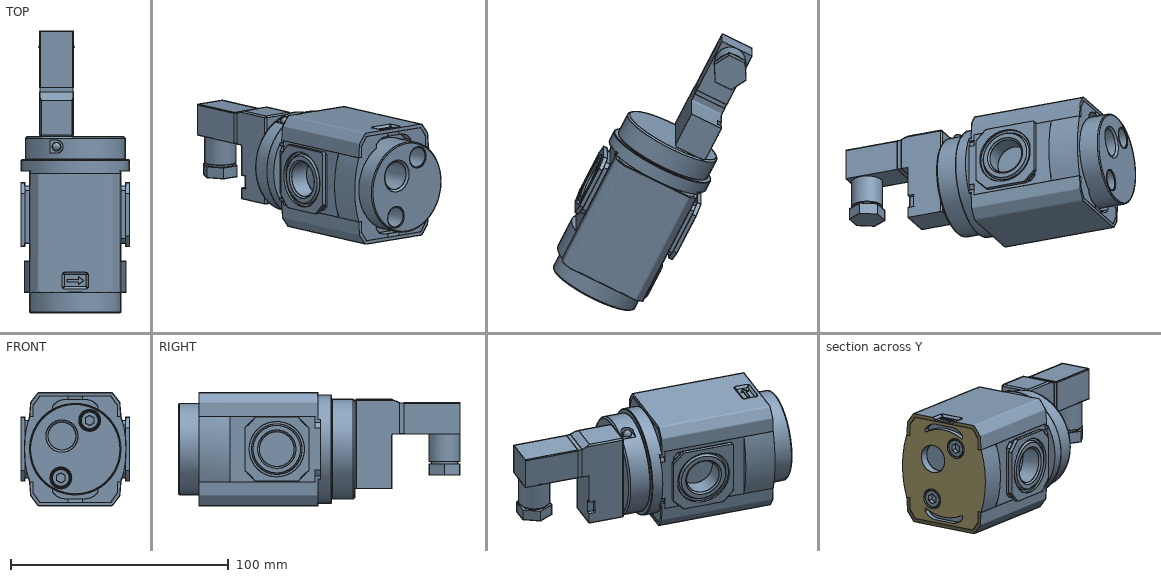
import cadquery as cq
import math


FRONT_FACE = -45.2
COVER_FRONT = FRONT_FACE + 9.45
COVER_REAR = FRONT_FACE + 64.1
PANEL_REAR = COVER_REAR + 1.1
COLLAR_REAR = FRONT_FACE + 70.4
RING_REAR = FRONT_FACE + 81.0
VALVE_REAR = FRONT_FACE + 98.1
PLUG_REAR = FRONT_FACE + 129.4

BOSS_RADIUS = 21.0
COLLAR_RADIUS = 24.9
RING_RADIUS = 23.0
CHAMFER_ANGLE = 45
BOSS_CHAMFER = 0.5
COLLAR_CHAMFER = 0.3
RING_FRONT_CHAMFER = 0.4
RING_REAR_CHAMFER = 0.8

COVER_TOP = 26.0
COVER_TOP_HALF = 17.0
COVER_SHOULDER_HALF = 20.5
COVER_SHOULDER = 21.4
COVER_SIDE_HALF = 21.0
COVER_SPLIT = 15.0
COVER_CORNER_RADIUS = 1.2
INNER_TOP = 24.4
INNER_TOP_HALF = 16.3
INNER_SIDE_HALF = 19.3
INNER_SHOULDER = 20.2
TAB_FRONT = COVER_REAR - 1.4
TAB_LOW = 12.3
TAB_HIGH = 13.6

BULGE_HALF_WIDTH = 23.4
BULGE_LENGTH = 14.35
NOTCH_LOW = 9.6
NOTCH_FLOOR_RADIUS = 23.0
CRESCENT_HALF_WIDTH = 10.4
CRESCENT_LOW = 18.0
CRESCENT_CORNER = 19.6
CRESCENT_MID = (8.6, 21.5)
CRESCENT_TOP_HALF = 4.8
CRESCENT_TOP = 22.8
CRESCENT_DEPTH = 4.85
PRY_HALF_WIDTH = 3.4
PRY_LOW = 22.3
PRY_DEPTH = 0.3

FLANGE_FACE = 25.0
FLANGE_THICKNESS = 1.9
FLANGE_HALF = 14.7
FLANGE_CHAMFER = 4.9
FLANGE_CORNER_RADIUS = 0.8
NECK_HALF = 13.2
NECK_CHAMFER = 2.2
SIDE_PORT_RADIUS = 8.0
SIDE_PORT_CHAMFER = 0.8
SIDE_PORT_DEPTH = 9.7
SEAL_GROOVE_OUTER = 12.7
SEAL_GROOVE_INNER = 10.9
SEAL_GROOVE_FLOOR_INNER = 11.6
SEAL_GROOVE_DEPTH = 1.2
FRONT_PORT_X = -6.1
FRONT_PORT_Z = 6.0
FRONT_PORT_RADIUS = 6.4
FRONT_PORT_CHAMFER = 1.0
FRONT_PORT_DEPTH = 16.0

SCREW_X = 6.6
SCREW_Z = 13.2
SCREW_BORE_RADIUS = 4.6
SCREW_BORE_CHAMFER = 0.4
SCREW_HEAD_RADIUS = 4.25
SCREW_HEAD_LENGTH = 5.0
SCREW_HEAD_CHAMFER = 0.4
SCREW_SHANK_RADIUS = 2.5
SCREW_SHANK_LENGTH = 16.0
SCREW_HEAD_FACE = FRONT_FACE + 12.0
SCREW_SEAT = SCREW_HEAD_FACE + SCREW_HEAD_LENGTH
SOCKET_FLATS = 4.0
SOCKET_DEPTH = 2.5
SOCKET_TURN = 90

BADGE_Y = FRONT_FACE + 14.9
BADGE_FLOOR_LENGTH = 10.0
BADGE_FLOOR_WIDTH = 5.5
BADGE_DEPTH = 1.1
BADGE_TAPER = 45
BADGE_CORNER_RADIUS = 1.5
ARROW_LENGTH = 7.8
ARROW_HEAD_LENGTH = 2.4
ARROW_HEAD_HALF = 1.8
ARROW_SHAFT_HALF = 0.6
ARROW_HEIGHT = 0.3

VALVE_X = -8.6
DOME_Y = FRONT_FACE + 76.4
DOME_POCKET_RADIUS = 3.0
DOME_POCKET_FLOOR = 19.9
DOME_RADIUS = 2.0
DOME_CENTRE = DOME_POCKET_FLOOR + 0.5

VALVE_WIDTH = 15.4
VALVE_TOP = 23.0
VALVE_BOTTOM = -18.1
VALVE_CHAMFER = 0.7
RAMP_FRONT = VALVE_REAR - 0.4
RAMP_REAR = VALVE_REAR + 3.4
PLUG_TOP = 21.4
PLUG_BOTTOM = 6.95
PLUG_FRONT = RAMP_REAR + 2.0
PLUG_CHAMFER = 0.4
JOINT_INSET = 0.1
INNER_CORNER_RADIUS = 0.6
OVERRIDE_WIDTH = 2.0
OVERRIDE_DEPTH = 2.9
OVERRIDE_TOP = -7.1
OVERRIDE_BOTTOM = -13.1
GLAND_RADIUS = 7.2
GLAND_BOTTOM = -5.7
GLAND_Y = PLUG_REAR - GLAND_RADIUS
GLAND_NECK_RADIUS = 6.15
NUT_TOP = -6.8
NUT_BOTTOM = -11.9
NUT_FLATS = 14.2


def section(y_start):
    """Sketch plane with local x = X and local y = Z; a negative extrude runs towards +Y."""
    return cq.Workplane(cq.Plane((0, y_start, 0), xDir=(1, 0, 0), normal=(0, -1, 0)))


def rod(radius, y_start, y_end, x=0, z=0):
    """Cylinder parallel to Y."""
    return section(y_start).center(x, z).circle(radius).extrude(y_start - y_end)


def block(x_range, y_range, z_range):
    """Axis-aligned box between the given limits."""
    size = [high - low for low, high in (x_range, y_range, z_range)]
    return cq.Workplane().box(*size, centered=False).translate((x_range[0], y_range[0], z_range[0]))


def hexagon(plane, flats):
    """Hexagon of the given width across flats."""
    return plane.polygon(6, flats / math.cos(math.pi / 6))


def arrow_badge():
    """Recess with bevelled walls and rounded corners."""
    floor_plane = cq.Workplane("XY", origin=(0, BADGE_Y, COVER_TOP - BADGE_DEPTH))
    floor = floor_plane.rect(BADGE_FLOOR_LENGTH, BADGE_FLOOR_WIDTH)
    bevelled = floor.extrude(BADGE_DEPTH, taper=-BADGE_TAPER)
    flare = 2 * BADGE_DEPTH * math.tan(math.radians(BADGE_TAPER))
    rounded = floor_plane.rect(BADGE_FLOOR_LENGTH + flare, BADGE_FLOOR_WIDTH + flare).extrude(BADGE_DEPTH)
    return bevelled.intersect(rounded.edges("|Z").fillet(BADGE_CORNER_RADIUS))


def arrow():
    """Raised arrow on the badge floor, pointing along +X."""
    tip = ARROW_LENGTH / 2
    head_start = tip - ARROW_HEAD_LENGTH
    half_arrow = [
        (-tip, ARROW_SHAFT_HALF),
        (head_start, ARROW_SHAFT_HALF),
        (head_start, ARROW_HEAD_HALF),
    ]
    other_half = [(x, -y) for x, y in reversed(half_arrow)]
    return (
        cq.Workplane("XY", origin=(0, BADGE_Y, COVER_TOP - BADGE_DEPTH))
        .polyline(half_arrow + [(tip, 0)] + other_half)
        .close()
        .extrude(ARROW_HEIGHT)
    )


def arched_prism(points):
    """Extrude an outline, given by its right half, over the length of the covers."""
    left_half = [(-x, z) for x, z in reversed(points)]
    return section(COVER_FRONT).polyline(points + left_half).close().extrude(COVER_FRONT - COVER_REAR)


def make_cover():
    outer = arched_prism([
        (COVER_SIDE_HALF, COVER_SPLIT),
        (COVER_SHOULDER_HALF, COVER_SHOULDER),
        (COVER_TOP_HALF, COVER_TOP),
    ])
    for x, z in ((COVER_SHOULDER_HALF, COVER_SHOULDER), (COVER_TOP_HALF, COVER_TOP)):
        for side in (-1, 1):
            corner = cq.selectors.NearestToPointSelector((side * x, (COVER_FRONT + COVER_REAR) / 2, z))
            outer = outer.edges("|Y").edges(corner).fillet(COVER_CORNER_RADIUS)
    inner = arched_prism([
        (INNER_SIDE_HALF, COVER_SPLIT),
        (INNER_SIDE_HALF, INNER_SHOULDER),
        (INNER_TOP_HALF, INNER_TOP),
    ])
    cover = outer.cut(inner)
    for side in (-1, 1):
        x_range = sorted((side * INNER_SIDE_HALF, side * COVER_SIDE_HALF))
        cover = cover.union(block(x_range, (TAB_FRONT, COVER_REAR), (TAB_LOW, COVER_SPLIT)))
        cover = cover.union(block(x_range, (COVER_REAR, PANEL_REAR), (TAB_LOW, TAB_HIGH)))
    return cover


def side_bulges():
    return (
        section(COVER_FRONT)
        .moveTo(COVER_SIDE_HALF, -COVER_SPLIT)
        .threePointArc((BULGE_HALF_WIDTH, 0), (COVER_SIDE_HALF, COVER_SPLIT))
        .lineTo(-COVER_SIDE_HALF, COVER_SPLIT)
        .threePointArc((-BULGE_HALF_WIDTH, 0), (-COVER_SIDE_HALF, -COVER_SPLIT))
        .close()
        .extrude(-BULGE_LENGTH)
    )


def port_flange(side, square_corner):
    """Flange plate and neck; the upper front corner stays square when square_corner is set."""
    def plate(half, chamfer, x_outer, x_inner):
        body = block(sorted((side * x_inner, side * x_outer)), (-half, half), (-half, half))
        corners = body.edges("|X").edges(">Y or <Z") if square_corner else body.edges("|X")
        return corners.chamfer(chamfer)

    back = FLANGE_FACE - FLANGE_THICKNESS
    face = plate(FLANGE_HALF, FLANGE_CHAMFER, FLANGE_FACE, back)
    if square_corner:
        corner = cq.selectors.NearestToPointSelector((side * FLANGE_FACE, -FLANGE_HALF, FLANGE_HALF))
        face = face.edges("|X").edges(corner).fillet(FLANGE_CORNER_RADIUS)
    return face.union(plate(NECK_HALF, NECK_CHAMFER, back, INNER_SIDE_HALF))


def side_port(side):
    """Chamfered blind bore and tapered seal groove, revolved about X."""
    floor = FLANGE_FACE - SIDE_PORT_DEPTH
    groove_floor = FLANGE_FACE - SEAL_GROOVE_DEPTH
    bore = (
        cq.Workplane("XY")
        .polyline([
            (side * floor, 0),
            (side * floor, SIDE_PORT_RADIUS),
            (side * (FLANGE_FACE - SIDE_PORT_CHAMFER), SIDE_PORT_RADIUS),
            (side * FLANGE_FACE, SIDE_PORT_RADIUS + SIDE_PORT_CHAMFER),
            (side * FLANGE_FACE, 0),
        ])
        .close()
        .revolve(360, (0, 0, 0), (1, 0, 0))
    )
    groove = (
        cq.Workplane("XY")
        .polyline([
            (side * FLANGE_FACE, SEAL_GROOVE_INNER),
            (side * groove_floor, SEAL_GROOVE_FLOOR_INNER),
            (side * groove_floor, SEAL_GROOVE_OUTER),
            (side * FLANGE_FACE, SEAL_GROOVE_OUTER),
        ])
        .close()
        .revolve(360, (0, 0, 0), (1, 0, 0))
    )
    return bore.union(groove)


def chamfered_bore(x, z, radius, chamfer, y_end):
    """Blind bore from the front face with a chamfered mouth."""
    mouth = section(FRONT_FACE).center(x, z).circle(radius + chamfer).extrude(-chamfer, taper=CHAMFER_ANGLE)
    return rod(radius, FRONT_FACE, y_end, x, z).union(mouth)


def crescent_recess():
    """Rounded pocket in the front of the core, along the top of the boss."""
    recess = (
        section(COVER_FRONT)
        .moveTo(-CRESCENT_HALF_WIDTH, CRESCENT_LOW)
        .lineTo(-CRESCENT_HALF_WIDTH, CRESCENT_CORNER)
        .threePointArc((-CRESCENT_MID[0], CRESCENT_MID[1]), (-CRESCENT_TOP_HALF, CRESCENT_TOP))
        .lineTo(CRESCENT_TOP_HALF, CRESCENT_TOP)
        .threePointArc(CRESCENT_MID, (CRESCENT_HALF_WIDTH, CRESCENT_CORNER))
        .lineTo(CRESCENT_HALF_WIDTH, CRESCENT_LOW)
        .close()
        .extrude(-CRESCENT_DEPTH)
    )
    return recess.cut(rod(BOSS_RADIUS, COVER_FRONT, COVER_REAR))


def pry_slot():
    """Wedge behind the edge of a cover, deepest towards the boss."""
    return (
        cq.Workplane("YZ")
        .polyline([
            (COVER_FRONT, PRY_LOW),
            (COVER_FRONT + PRY_DEPTH, PRY_LOW),
            (COVER_FRONT, INNER_TOP),
        ])
        .close()
        .extrude(PRY_HALF_WIDTH, both=True)
    )


def panel_notches():
    """Notches in the rear of both side panels, next to the cover tabs."""
    panel_width = (-COVER_SIDE_HALF, COVER_SIDE_HALF)
    notch = block(panel_width, (TAB_FRONT, PANEL_REAR), (NOTCH_LOW, TAB_LOW))
    return notch.cut(rod(NOTCH_FLOOR_RADIUS, TAB_FRONT, PANEL_REAR))


def make_housing(covers):
    core_half = arched_prism([
        (COVER_SIDE_HALF, 0),
        (COVER_SIDE_HALF, COVER_SPLIT),
        (INNER_SIDE_HALF, COVER_SPLIT),
        (INNER_SIDE_HALF, INNER_SHOULDER),
        (INNER_TOP_HALF, INNER_TOP),
    ])
    boss = rod(BOSS_RADIUS, FRONT_FACE, COVER_FRONT).faces("<Y").chamfer(BOSS_CHAMFER)
    collar = rod(COLLAR_RADIUS, COVER_REAR, COLLAR_REAR).faces(">Y").chamfer(COLLAR_CHAMFER)
    for side in (-1, 1):
        x_range = sorted((side * INNER_SIDE_HALF, side * COLLAR_RADIUS))
        collar = collar.cut(block(x_range, (COVER_REAR, PANEL_REAR), (-TAB_HIGH, TAB_HIGH)))
    panel_end = block(
        (-COVER_SIDE_HALF, COVER_SIDE_HALF), (COVER_REAR, PANEL_REAR), (-TAB_LOW, TAB_LOW)
    )
    housing = core_half.union(core_half.mirror("XY")).union(boss).union(collar).union(panel_end)
    housing = housing.union(side_bulges())
    for side in (-1, 1):
        housing = housing.union(port_flange(side, square_corner=side < 0)).cut(side_port(side))
    for recess in (crescent_recess(), pry_slot(), panel_notches()):
        for copy in (recess, recess.mirror("XY")):
            housing = housing.cut(copy)
    front_port_end = FRONT_FACE + FRONT_PORT_DEPTH
    housing = housing.cut(chamfered_bore(
        FRONT_PORT_X, FRONT_PORT_Z, FRONT_PORT_RADIUS, FRONT_PORT_CHAMFER, front_port_end
    ))
    for side in (-1, 1):
        x = side * SCREW_X
        z = side * SCREW_Z
        housing = housing.cut(chamfered_bore(x, z, SCREW_BORE_RADIUS, SCREW_BORE_CHAMFER, SCREW_SEAT))
        housing = housing.cut(rod(SCREW_SHANK_RADIUS, SCREW_SEAT, SCREW_SEAT + SCREW_SHANK_LENGTH, x, z))
    for cover in covers:
        housing = housing.cut(cover)
    return housing


def make_screw(x, z):
    head = rod(SCREW_HEAD_RADIUS, SCREW_HEAD_FACE, SCREW_SEAT, x, z)
    head = head.faces("<Y").chamfer(SCREW_HEAD_CHAMFER)
    socket = hexagon(section(SCREW_HEAD_FACE).center(x, z).transformed((0, 0, SOCKET_TURN)), SOCKET_FLATS)
    shank = rod(SCREW_SHANK_RADIUS, SCREW_SEAT, SCREW_SEAT + SCREW_SHANK_LENGTH, x, z)
    return head.union(shank).cut(socket.extrude(-SOCKET_DEPTH))


def make_ring():
    ring = rod(RING_RADIUS, COLLAR_REAR, RING_REAR)
    ring = ring.faces("<Y").chamfer(RING_FRONT_CHAMFER)
    ring = ring.faces(">Y").chamfer(RING_REAR_CHAMFER)
    pocket = (
        cq.Workplane("XY", origin=(VALVE_X, DOME_Y, DOME_POCKET_FLOOR))
        .circle(DOME_POCKET_RADIUS)
        .extrude(RING_RADIUS - DOME_POCKET_FLOOR)
    )
    open_side = block(
        (VALVE_X - DOME_POCKET_RADIUS, VALVE_X),
        (DOME_Y - DOME_POCKET_RADIUS, DOME_Y + DOME_POCKET_RADIUS),
        (DOME_POCKET_FLOOR, RING_RADIUS),
    )
    dome = cq.Workplane("XY", origin=(VALVE_X, DOME_Y, DOME_CENTRE)).sphere(DOME_RADIUS)
    return ring.cut(pocket).cut(open_side).union(dome)


def make_valve():
    x_left = VALVE_X - VALVE_WIDTH / 2
    x_right = VALVE_X + VALVE_WIDTH / 2
    upright = (
        cq.Workplane("YZ", origin=(x_left, 0, 0))
        .polyline([
            (RING_REAR, VALVE_BOTTOM),
            (VALVE_REAR, VALVE_BOTTOM),
            (VALVE_REAR, PLUG_BOTTOM),
            (RAMP_REAR, PLUG_BOTTOM),
            (RAMP_REAR, PLUG_TOP),
            (RAMP_FRONT, VALVE_TOP),
            (RING_REAR, VALVE_TOP),
        ])
        .close()
        .extrude(VALVE_WIDTH)
    )
    inner_corner = cq.selectors.NearestToPointSelector((VALVE_X, VALVE_REAR, PLUG_BOTTOM))
    valve = upright.edges("|X").edges(inner_corner).fillet(INNER_CORNER_RADIUS)
    valve = valve.faces(">Z").edges("|Y").chamfer(VALVE_CHAMFER)
    valve = valve.faces("<Y").edges("not <Z").chamfer(VALVE_CHAMFER)
    joint = block(
        (x_left + JOINT_INSET, x_right - JOINT_INSET),
        (RAMP_REAR, PLUG_FRONT),
        (PLUG_BOTTOM + JOINT_INSET, PLUG_TOP - JOINT_INSET),
    )
    plug = block((x_left, x_right), (PLUG_FRONT, PLUG_REAR), (PLUG_BOTTOM, PLUG_TOP))
    plug = plug.edges("|Y").edges(">Z").chamfer(PLUG_CHAMFER)
    override = block(
        (x_left, x_left + OVERRIDE_WIDTH),
        (VALVE_REAR - OVERRIDE_DEPTH, VALVE_REAR),
        (OVERRIDE_BOTTOM, OVERRIDE_TOP),
    )

    def gland_plane(z):
        return cq.Workplane("XY", origin=(VALVE_X, GLAND_Y, z))

    gland = gland_plane(GLAND_BOTTOM).circle(GLAND_RADIUS).extrude(PLUG_BOTTOM - GLAND_BOTTOM)
    gland_neck = gland_plane(NUT_TOP).circle(GLAND_NECK_RADIUS).extrude(GLAND_BOTTOM - NUT_TOP)
    nut = hexagon(gland_plane(NUT_BOTTOM), NUT_FLATS).extrude(NUT_TOP - NUT_BOTTOM)
    return valve.cut(override).union(joint).union(plug).union(gland).union(gland_neck).union(nut)


plain_cover = make_cover()
lower_cover = plain_cover.mirror("XY")
upper_cover = plain_cover.cut(arrow_badge()).union(arrow())
housing = make_housing([plain_cover, lower_cover])
screws = [make_screw(side * SCREW_X, side * SCREW_Z) for side in (-1, 1)]
ring = make_ring()
valve = make_valve()

result = cq.Compound.makeCompound([
    housing.val(),
    upper_cover.val(),
    lower_cover.val(),
    *[screw.val() for screw in screws],
    ring.val(),
    valve.val(),
])